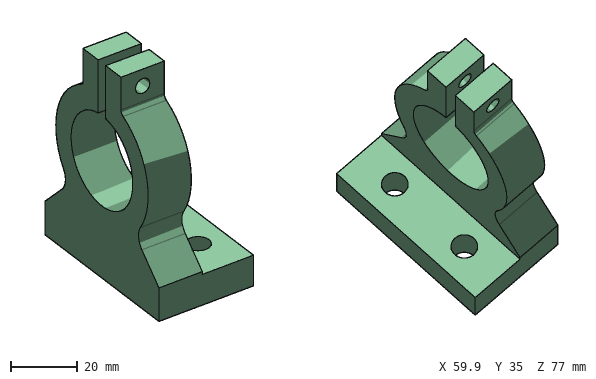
import cadquery as cq
import math

height = 77.0
width = 59.9
depth = 35.0
clamp_depth = 16.0
base_height = 11.0

shoulder_height = 12.0
bore_diameter = 32.35
ring_diameter = 48.5
neck_fillet = 6.0

ears_width = 20.0
slit_width = 4.0
ear_fillet = 2.0
screw_diameter = 5.2
screw_drop = 6.0

mount_diameter = 8.0
mount_spacing = 30.05
mount_inset = 10.0

ring_height = shoulder_height + width / 2
ring_radius = ring_diameter / 2
front_plane = cq.Workplane("XZ")


def make_base():
    base = cq.Workplane("XY").box(width, depth, base_height, centered=(True, False, False))
    mounts = (
        cq.Workplane("XY")
        .pushPoints([(side * mount_spacing / 2, depth - mount_inset) for side in (-1, 1)])
        .circle(mount_diameter / 2)
        .extrude(base_height)
    )
    return base.cut(mounts)


def make_clamp():
    pedestal = (
        front_plane
        .moveTo(-width / 2, 0)
        .lineTo(width / 2, 0)
        .lineTo(width / 2, shoulder_height)
        .lineTo(0, ring_height)
        .lineTo(-width / 2, shoulder_height)
        .close()
        .extrude(-clamp_depth)
    )
    ring = front_plane.center(0, ring_height).circle(ring_radius).extrude(-clamp_depth)
    ears = (
        cq.Workplane("XY")
        .workplane(offset=ring_height)
        .box(ears_width, clamp_depth, height - ring_height, centered=(True, False, False))
    )
    return pedestal.union(ring).union(ears)


def fillet_corner_pair(body, x, z, radius):
    """Round the two mirrored corners running along Y at (-x, z) and (x, z)."""
    for side in (-1, 1):
        corner = cq.selectors.NearestToPointSelector((side * x, clamp_depth / 2, z))
        body = body.edges("|Y").edges(corner).fillet(radius)
    return body


def cut_clamp_openings(body):
    bore = front_plane.center(0, ring_height).circle(bore_diameter / 2).extrude(-clamp_depth)
    slit = (
        cq.Workplane("XY")
        .workplane(offset=ring_height)
        .box(slit_width, clamp_depth, height - ring_height, centered=(True, False, False))
    )
    screw_hole = (
        cq.Workplane("YZ")
        .center(clamp_depth / 2, height - screw_drop)
        .circle(screw_diameter / 2)
        .extrude(ears_width / 2, both=True)
    )
    return body.cut(bore).cut(slit).cut(screw_hole)


neck_offset = ring_radius * math.sqrt(0.5)
ear_corner_x = ears_width / 2
ear_corner_z = ring_height + math.sqrt(ring_radius**2 - ear_corner_x**2)

clamp = make_clamp()
clamp = fillet_corner_pair(clamp, neck_offset, ring_height - neck_offset, neck_fillet)
clamp = fillet_corner_pair(clamp, ear_corner_x, ear_corner_z, ear_fillet)
clamp = cut_clamp_openings(clamp)

result = make_base().union(clamp)